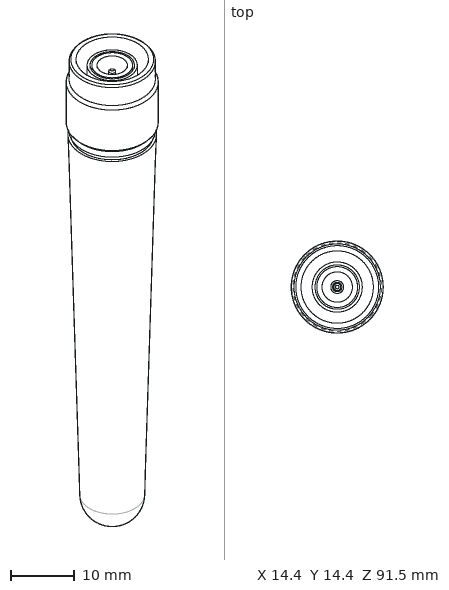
import cadquery as cq
import math

TOTAL_LENGTH = 91.45
NUT_HEIGHT = 14.9
NUT_BOTTOM = TOTAL_LENGTH - NUT_HEIGHT

SHEATH_TOP_RADIUS = 6.95
TIP_RADIUS = 5.1

NUT_RADIUS = 6.8
NUT_BORE_RADIUS = 5.7
NUT_CHAMFER_WIDTH = 0.3
NUT_TOP_CHAMFER_HEIGHT = 0.4
NUT_BOTTOM_CHAMFER_HEIGHT = 0.7
GRIP_RADIUS = 7.2
GRIP_TOP = TOTAL_LENGTH - 3.9
GRIP_BOTTOM = TOTAL_LENGTH - 13.1
GRIP_CHAMFER_HEIGHT = 0.55

CORE_FLOOR = TOTAL_LENGTH - 9.1
SLEEVE_TOP = TOTAL_LENGTH - 1.2
OUTER_SLEEVE_RADIUS = 3.9
OUTER_SLEEVE_BORE = 3.5
INNER_SLEEVE_RADIUS = 3.2
INNER_SLEEVE_BORE = 2.4
PIN_TOP = TOTAL_LENGTH - 2.1
PIN_RADIUS = 0.55
PIN_TIP_CHAMFER = 0.3
PIN_BASE_RADIUS = 1.0
PIN_SHOULDER_TOP = TOTAL_LENGTH - 4.1
PIN_SHOULDER_RADIUS = 0.7
PIN_SHOULDER_CHAMFER_HEIGHT = 0.5


def revolve_about_z(profile):
    """Revolve a closed profile of (radius, Z) points fully around the Z axis."""
    return profile.close().revolve(360, (0, 0), (0, 1))


def turn(points):
    """Turn a straight-sided profile of (radius, Z) points."""
    return revolve_about_z(cq.Workplane("XZ").polyline(points))


def make_sheath():
    arc_middle = (
        TIP_RADIUS * math.sin(math.pi / 4),
        TIP_RADIUS * (1 - math.cos(math.pi / 4)),
    )
    profile = (
        cq.Workplane("XZ")
        .moveTo(0, 0)
        .threePointArc(arc_middle, (TIP_RADIUS, TIP_RADIUS))
        .lineTo(SHEATH_TOP_RADIUS, NUT_BOTTOM)
        .lineTo(0, NUT_BOTTOM)
    )
    return revolve_about_z(profile)


def make_nut():
    end_radius = NUT_RADIUS - NUT_CHAMFER_WIDTH
    return turn([
        (NUT_BORE_RADIUS, NUT_BOTTOM),
        (end_radius, NUT_BOTTOM),
        (NUT_RADIUS, NUT_BOTTOM + NUT_BOTTOM_CHAMFER_HEIGHT),
        (NUT_RADIUS, GRIP_BOTTOM),
        (GRIP_RADIUS, GRIP_BOTTOM + GRIP_CHAMFER_HEIGHT),
        (GRIP_RADIUS, GRIP_TOP - GRIP_CHAMFER_HEIGHT),
        (NUT_RADIUS, GRIP_TOP),
        (NUT_RADIUS, TOTAL_LENGTH - NUT_TOP_CHAMFER_HEIGHT),
        (end_radius, TOTAL_LENGTH),
        (NUT_BORE_RADIUS, TOTAL_LENGTH),
    ])


def sleeve_profile(outer_radius, bore_radius):
    """Profile of a sleeve on the core floor, from its outer wall to its bore."""
    return [
        (outer_radius, CORE_FLOOR),
        (outer_radius, SLEEVE_TOP),
        (bore_radius, SLEEVE_TOP),
        (bore_radius, CORE_FLOOR),
    ]


def make_contact_core():
    base = [
        (0, NUT_BOTTOM),
        (NUT_BORE_RADIUS, NUT_BOTTOM),
        (NUT_BORE_RADIUS, CORE_FLOOR),
    ]
    outer_sleeve = sleeve_profile(OUTER_SLEEVE_RADIUS, OUTER_SLEEVE_BORE)
    inner_sleeve = sleeve_profile(INNER_SLEEVE_RADIUS, INNER_SLEEVE_BORE)
    pin = [
        (PIN_BASE_RADIUS, CORE_FLOOR),
        (PIN_BASE_RADIUS, PIN_SHOULDER_TOP - PIN_SHOULDER_CHAMFER_HEIGHT),
        (PIN_SHOULDER_RADIUS, PIN_SHOULDER_TOP),
        (PIN_RADIUS, PIN_SHOULDER_TOP),
        (PIN_RADIUS, PIN_TOP - PIN_TIP_CHAMFER),
        (PIN_RADIUS - PIN_TIP_CHAMFER, PIN_TOP),
        (0, PIN_TOP),
    ]
    return turn(base + outer_sleeve + inner_sleeve + pin)


sheath = make_sheath()
nut = make_nut()
contact_core = make_contact_core()

result = cq.Compound.makeCompound([sheath.val(), nut.val(), contact_core.val()])